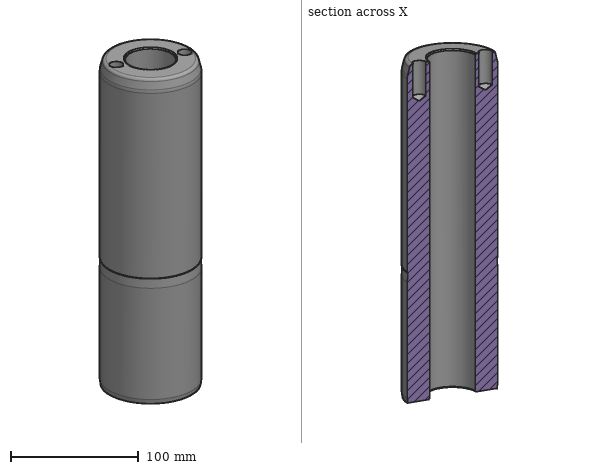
import cadquery as cq
import math

length = 280.0
outer_radius = 40.0
bore_radius = 20.0
bore_chamfer = 1.0

lead_angle = math.radians(15)
lead_length = 11.5
shoulder_round = 11.0
tip_round = 3.0

shoulder_z = 108.5
shoulder_bevel = 0.8
relief_start_z = 100.2
relief_depth = 0.5
foot_height = 4.2
foot_inset = 0.5

hole_radius = 5.5
hole_offset = 29.0
hole_depth = 28.0
drill_point_angle = math.radians(118)


def arc_point(center, radius, angle):
    """Point on a circle, with the angle measured from the outward horizontal."""
    return (center[0] + radius * math.cos(angle), center[1] + radius * math.sin(angle))


def make_body():
    shoulder_center = (outer_radius - shoulder_round, length - lead_length)
    taper_start = arc_point(shoulder_center, shoulder_round, lead_angle)

    tip_center_z = length - tip_round
    taper_end_z = tip_center_z + tip_round * math.sin(lead_angle)
    taper_end_radius = taper_start[0] - (taper_end_z - taper_start[1]) * math.tan(lead_angle)
    tip_center = (taper_end_radius - tip_round * math.cos(lead_angle), tip_center_z)
    tip_mid_angle = (lead_angle + math.pi / 2) / 2

    profile = (
        cq.Workplane("XZ")
        .moveTo(0, 0)
        .lineTo(outer_radius - foot_inset, 0)
        .lineTo(outer_radius, foot_height)
        .lineTo(outer_radius, relief_start_z)
        .lineTo(outer_radius - relief_depth, shoulder_z - shoulder_bevel)
        .lineTo(outer_radius, shoulder_z)
        .lineTo(outer_radius, length - lead_length)
        .threePointArc(arc_point(shoulder_center, shoulder_round, lead_angle / 2), taper_start)
        .lineTo(taper_end_radius, taper_end_z)
        .threePointArc(arc_point(tip_center, tip_round, tip_mid_angle), (tip_center[0], length))
        .lineTo(0, length)
        .close()
    )
    return profile.revolve(360, (0, 0, 0), (0, 1, 0))


def make_bore():
    mouth_radius = bore_radius + bore_chamfer
    profile = (
        cq.Workplane("XZ")
        .moveTo(0, 0)
        .lineTo(mouth_radius, 0)
        .lineTo(bore_radius, bore_chamfer)
        .lineTo(bore_radius, length - bore_chamfer)
        .lineTo(mouth_radius, length)
        .lineTo(0, length)
        .close()
    )
    return profile.revolve(360, (0, 0, 0), (0, 1, 0))


def make_drilled_hole(y):
    floor_z = length - hole_depth
    point_depth = hole_radius / math.tan(drill_point_angle / 2)
    profile = (
        cq.Workplane("XZ")
        .moveTo(0, length)
        .lineTo(hole_radius, length)
        .lineTo(hole_radius, floor_z)
        .lineTo(0, floor_z - point_depth)
        .close()
    )
    return profile.revolve(360, (0, 0, 0), (0, 1, 0)).translate((0, y, 0))


result = make_body().cut(make_bore())
for y in (-hole_offset, hole_offset):
    result = result.cut(make_drilled_hole(y))